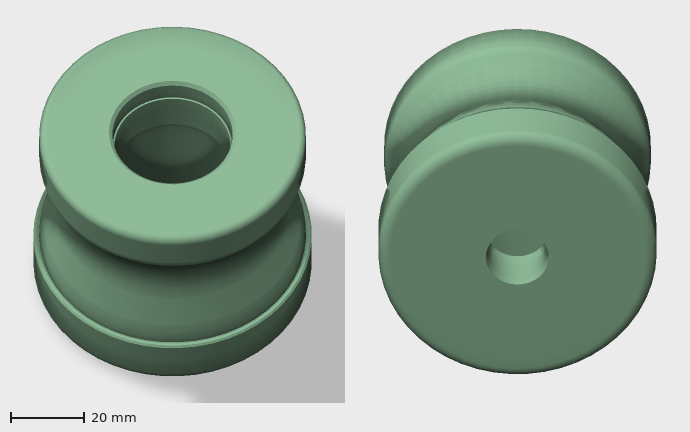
import cadquery as cq
import math

BASE_RADIUS = 38.1
TOTAL_HEIGHT = 63.5

BASE_HEIGHT = 15.85
BASE_BOTTOM_FILLET = 3.05
BASE_TOP_CHAMFER = 0.5
HOLE_RADIUS = 8.6
HOLE_CHAMFER = 0.2

SPOOL_RADIUS = 36.5
SPOOL_TOP_FILLET = 1.9
LIP_BOTTOM_Z = 53.3
LIP_ARC_RADIUS = 4.7
LIP_ANGLE = math.radians(40)
NECK_ARC_RADIUS = 19.6
TAPER_ANGLE = math.radians(20.7)
FLARE_ARC_RADIUS = 17.7

MOUTH_RADIUS = 16.45
MOUTH_DEPTH = 6.4
MOUTH_CHAMFER = 0.9
BORE_RADIUS = 15.9
BORE_BOTTOM_DEPTH = 18.3
RELIEF_RADIUS = MOUTH_RADIUS


def arc_point(center, radius, angle):
    """Point (r, z) on a circle, with the angle measured from the +r direction."""
    return (center[0] + radius * math.cos(angle), center[1] + radius * math.sin(angle))


def make_spool_blank():
    """Solid of revolution whose lip, neck, taper and flare are tangent to each other."""
    lip_center = (SPOOL_RADIUS - LIP_ARC_RADIUS, LIP_BOTTOM_Z)
    lip_middle = arc_point(lip_center, LIP_ARC_RADIUS, -LIP_ANGLE / 2)
    lip_end = arc_point(lip_center, LIP_ARC_RADIUS, -LIP_ANGLE)

    neck_center = arc_point(lip_center, LIP_ARC_RADIUS + NECK_ARC_RADIUS, -LIP_ANGLE)
    neck_middle = arc_point(neck_center, NECK_ARC_RADIUS, math.pi)
    neck_end = arc_point(neck_center, NECK_ARC_RADIUS, math.pi + TAPER_ANGLE)

    flare_center = (SPOOL_RADIUS - FLARE_ARC_RADIUS, BASE_HEIGHT)
    flare_start = arc_point(flare_center, FLARE_ARC_RADIUS, TAPER_ANGLE)
    flare_middle = arc_point(flare_center, FLARE_ARC_RADIUS, TAPER_ANGLE / 2)

    return (
        cq.Workplane("XZ")
        .moveTo(0, TOTAL_HEIGHT)
        .lineTo(SPOOL_RADIUS, TOTAL_HEIGHT)
        .lineTo(SPOOL_RADIUS, LIP_BOTTOM_Z)
        .threePointArc(lip_middle, lip_end)
        .threePointArc(neck_middle, neck_end)
        .lineTo(*flare_start)
        .threePointArc(flare_middle, (SPOOL_RADIUS, BASE_HEIGHT))
        .lineTo(0, BASE_HEIGHT)
        .close()
        .revolve(360, (0, 0), (0, 1))
        .faces(">Z")
        .edges()
        .fillet(SPOOL_TOP_FILLET)
    )


def make_bore_cutter():
    """Chamfered mouth, narrower land and wider relief that reaches down to the base."""
    mouth_bottom = TOTAL_HEIGHT - MOUTH_DEPTH
    land_bottom = TOTAL_HEIGHT - BORE_BOTTOM_DEPTH
    return (
        cq.Workplane("XZ")
        .moveTo(0, TOTAL_HEIGHT)
        .lineTo(MOUTH_RADIUS + MOUTH_CHAMFER, TOTAL_HEIGHT)
        .lineTo(MOUTH_RADIUS, TOTAL_HEIGHT - MOUTH_CHAMFER)
        .lineTo(MOUTH_RADIUS, mouth_bottom)
        .lineTo(BORE_RADIUS, mouth_bottom)
        .lineTo(BORE_RADIUS, land_bottom)
        .lineTo(RELIEF_RADIUS, land_bottom)
        .lineTo(RELIEF_RADIUS, BASE_HEIGHT)
        .lineTo(0, BASE_HEIGHT)
        .close()
        .revolve(360, (0, 0), (0, 1))
    )


def make_spool():
    return make_spool_blank().cut(make_bore_cutter())


def make_base():
    """Round base disc with a central through hole."""
    disc = cq.Workplane("XY").circle(BASE_RADIUS).extrude(BASE_HEIGHT)
    disc = disc.faces("<Z").edges().fillet(BASE_BOTTOM_FILLET)
    disc = disc.faces(">Z").edges().chamfer(BASE_TOP_CHAMFER)
    hole = cq.Workplane("XY").circle(HOLE_RADIUS).extrude(BASE_HEIGHT)
    disc = disc.cut(hole)
    hole_rim = cq.selectors.RadiusNthSelector(0)
    return disc.faces(">Z").edges(hole_rim).chamfer(HOLE_CHAMFER)


spool = make_spool()
base = make_base()
result = cq.Compound.makeCompound([spool.val(), base.val()])